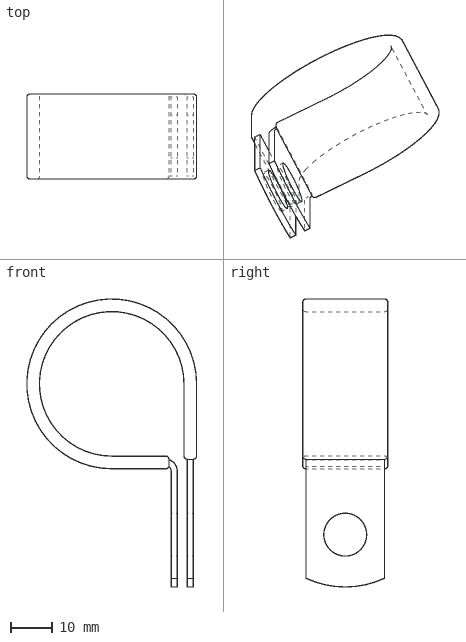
import cadquery as cq
import math


clamped_diameter = 34.925
strap_thickness = 1.524
strap_width = 19.05
cushion_cover = 0.79375
flange_gap = 2.38125
bend_inner_radius = 1.27
flange_bottom = -49.196
tip_radius = 22.225
bolt_hole_diameter = 10.31875
bolt_hole_to_tip = 12.7

cushion_inner_radius = clamped_diameter / 2
strap_inner_radius = cushion_inner_radius + cushion_cover
strap_middle_radius = strap_inner_radius + strap_thickness / 2
strap_outer_radius = strap_inner_radius + strap_thickness
cushion_outer_radius = strap_outer_radius + cushion_cover
cushion_width = strap_width + 2 * cushion_cover

inner_flange_right = strap_inner_radius - flange_gap
inner_flange_left = inner_flange_right - strap_thickness
bend_outer_radius = bend_inner_radius + strap_thickness
bend_x = inner_flange_left - bend_inner_radius
bend_z = -strap_outer_radius - bend_inner_radius

side_leg_end_z = -cushion_inner_radius - cushion_cover
lower_leg_end_x = bend_x + cushion_cover

tip_sagitta = tip_radius - math.sqrt(tip_radius**2 - (strap_width / 2) ** 2)
tip_corner_z = flange_bottom + tip_sagitta
bolt_hole_z = flange_bottom + bolt_hole_to_tip


def loop_point(radius):
    """Point halfway along the three-quarter loop, at the upper left."""
    return (-radius * math.sqrt(0.5), radius * math.sqrt(0.5))


def bend_point(radius):
    """Point halfway along the flange bend, at its upper right."""
    return (bend_x + radius * math.sqrt(0.5), bend_z + radius * math.sqrt(0.5))


def make_cushion():
    """Three-quarter loop with a side leg and a lower leg, rounded on every outer edge."""
    body = (
        cq.Workplane("XZ")
        .moveTo(cushion_outer_radius, side_leg_end_z)
        .lineTo(cushion_outer_radius, 0)
        .threePointArc(loop_point(cushion_outer_radius), (0, -cushion_outer_radius))
        .lineTo(lower_leg_end_x, -cushion_outer_radius)
        .lineTo(lower_leg_end_x, -cushion_inner_radius)
        .lineTo(0, -cushion_inner_radius)
        .threePointArc(loop_point(cushion_inner_radius), (cushion_inner_radius, 0))
        .lineTo(cushion_inner_radius, side_leg_end_z)
        .close()
        .extrude(cushion_width / 2, both=True)
    )
    flat_sides = cq.selectors.ParallelDirSelector(cq.Vector(0, 1, 0))
    side_leg_end = cq.selectors.NearestToPointSelector((strap_middle_radius, 0, side_leg_end_z))
    lower_leg_end = cq.selectors.NearestToPointSelector((lower_leg_end_x, 0, -strap_middle_radius))
    return body.faces(flat_sides + side_leg_end + lower_leg_end).edges().fillet(cushion_cover)


def make_bent_strap():
    """Strap running inside the cushion and out into two square-ended flanges."""
    return (
        cq.Workplane("XZ")
        .moveTo(strap_outer_radius, flange_bottom)
        .lineTo(strap_outer_radius, 0)
        .threePointArc(loop_point(strap_outer_radius), (0, -strap_outer_radius))
        .lineTo(bend_x, -strap_outer_radius)
        .threePointArc(bend_point(bend_inner_radius), (inner_flange_left, bend_z))
        .lineTo(inner_flange_left, flange_bottom)
        .lineTo(inner_flange_right, flange_bottom)
        .lineTo(inner_flange_right, bend_z)
        .threePointArc(bend_point(bend_outer_radius), (bend_x, -strap_inner_radius))
        .lineTo(0, -strap_inner_radius)
        .threePointArc(loop_point(strap_inner_radius), (strap_inner_radius, 0))
        .lineTo(strap_inner_radius, flange_bottom)
        .close()
        .extrude(strap_width / 2, both=True)
    )


def make_tip_waste():
    """Material below the rounded tips, reaching along X through both flanges."""
    half_width = strap_width / 2
    waste_bottom = flange_bottom - strap_thickness
    return (
        cq.Workplane("YZ")
        .moveTo(-half_width, tip_corner_z)
        .threePointArc((0, flange_bottom), (half_width, tip_corner_z))
        .lineTo(half_width, waste_bottom)
        .lineTo(-half_width, waste_bottom)
        .close()
        .extrude(cushion_outer_radius)
    )


def make_bolt_hole():
    """Bolt hole along X through both flanges."""
    return (
        cq.Workplane("YZ")
        .center(0, bolt_hole_z)
        .circle(bolt_hole_diameter / 2)
        .extrude(cushion_outer_radius)
    )


strap = make_bent_strap().cut(make_tip_waste()).cut(make_bolt_hole())
result = strap.union(make_cushion())